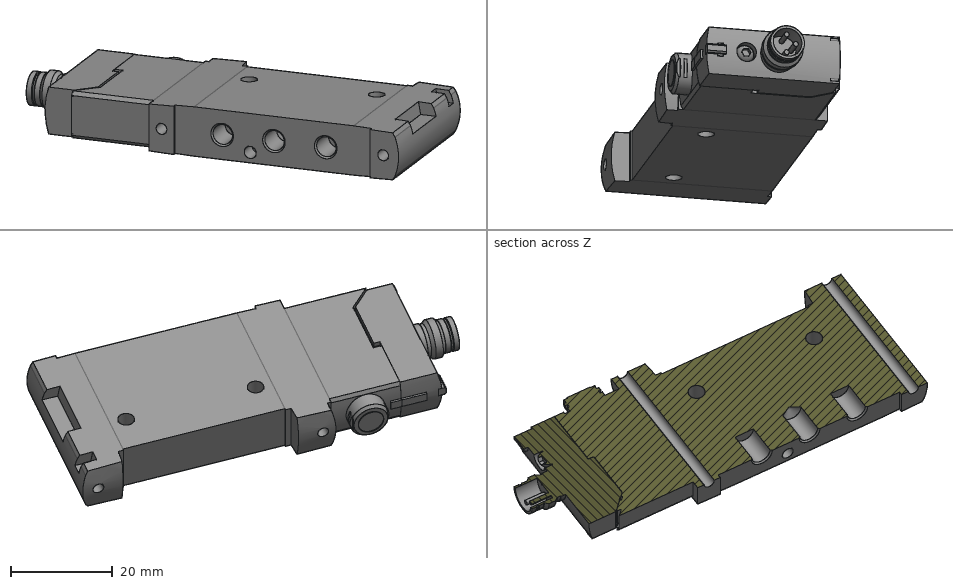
import cadquery as cq
import math

TOTAL_LENGTH = 83.7
TOP_Y = 33.5
BODY_HALF_Z = 5.1
SLIM_HALF_Z = 4.85
CUT_MARGIN = 0.8

LEFT_CAP_X = 30.8
BLOCK_X = 40.1
RIGHT_CAP_X = 73.9
BLOCK_BOTTOM_Y = 0.75
BLOCK_TOP_Y = 29.1
CAP_SHOULDER_Y = 29.5
LEFT_FOOT_X = 36.1
RIGHT_FOOT_X = 77.7
EAR_CROWN_Y = 33.05
EAR_EDGE_Y = 32.3
LEFT_EAR_FOOT_X = 38.9
LEFT_EAR_TOP_X = 38.6
RIGHT_EAR_FOOT_X = 75.0
RIGHT_EAR_TOP_X = 75.3
EAR_FACE_BULGE = 0.8
EAR_FACE_START_Y = 30.2
END_BEVEL_X = 82.4
END_ARC_X = 82.9
END_ARC_HALF_Z = 4.0

END_SLOT_TOP_X = 79.7
END_SLOT_FLOOR_X = 80.2
END_SLOT_DEPTH = 2.5
END_SLOT_SPANS_Y = [(8.3, 20.7), (27.7, 30.0)]

MOUNT_HOLE_DIA = 3.3
MOUNT_HOLE_Y = 21.5
MOUNT_HOLE_XS = [43.5, 70.55]
CAP_HOLE_DIA = 2.3
CAP_HOLE_XS = [33.5, 80.4]
PORT_DIA = 4.1
PORT_MOUTH_DIA = 4.8
PORT_DEPTH = 6.7
PORT_CENTRE_X = 57.0
PORT_PITCH = 11.0
PILOT_PORT_DIA = 2.5
PILOT_PORT_X = 52.0
PILOT_PORT_Z = -2.9
PILOT_PORT_DEPTH = 4.2
DRILL_POINT_ANGLE = 118.0

PILOT_FRONT_X = 13.7
PILOT_BOTTOM_Y = 1.75
PILOT_CHAMFER = 0.75
PILOT_CROWN_Y = 30.1
PILOT_ARC_EDGE_Y = 29.7
PILOT_EDGE_Y = 29.2

SEAM_X = 16.15
SEAM_GAP = 0.5
SEAM_NOTCH_TOP_Y = 18.7
SEAM_NOTCH_BOTTOM_Y = 17.5
SEAM_BEND_Y = 6.7
COVER_LIP_X = 17.4
PILOT_LIP_X = COVER_LIP_X + SEAM_GAP
SEAM_DEPTH = 1.0
SEAM_OPENING_Y = (5.2, 5.8)
SEAM_CORE_X = 14.2

COVER_EDGE_X = 8.4
COVER_CROWN_X = 7.6
COVER_BOTTOM_Y = SEAM_BEND_Y - (COVER_LIP_X - PILOT_FRONT_X)
COVER_CROWN_Y = 30.1
COVER_ARC_EDGE_Y = 29.5
PAD_X = 8.1
PAD_HALF_Z = 4.4
PAD_SPAN_Y = (3.3, 4.85)

LATCH_X = 6.7
LATCH_HALF_Z = 0.9
LATCH_CHAMFER = 0.3
LATCH_BOTTOM_Y = 26.3
CROSSBAR_X = 7.4
CROSSBAR_HALF_Z = 1.3
CROSSBAR_SPAN_Y = (26.8, 27.9)
RIB_START_X = 10.9
RIB_END_X = 18.4
RIB_TOP_Y = 30.55
RIB_ROOT = 0.8

SCREW_Y = 22.0
SCREW_RECESS_DIA = 3.9
SCREW_HEAD_DIA = 3.8
SCREW_SEAT_X = 9.5
SCREW_HEX_DIA = 1.8
SCREW_HEX_FLOOR_X = 8.8

CONNECTOR_Y = 15.6
THREAD_DIA = 6.9
NECK_DIA = 6.5
RING_DIA = 8.0
BASE_DIA = 7.2
BORE_DIA = 5.8
BORE_DEPTH = 5.0
PIN_DIA = 1.0
PIN_CIRCLE_RADIUS = 1.8
PIN_TIP_X = 0.7
PIN_OFFSETS = [(-1, 0), (0, 1), (0, -1)]

BUTTON_X = 23.6
BUTTON_DIA = 8.1
BUTTON_RIM_Y = 32.7
BUTTON_TOP_Y = 33.3
BUTTON_TOP_DIA = 7.0
BUTTON_BOSS_DIA = 5.3
BUTTON_NOTCH_DEPTH = 0.5
BUTTON_NOTCH_SPANS_Y = [(31.1, 31.7), (32.5, 33.1)]


def box(x_span, y_span, z_span):
    """Box between pairs of X, Y and Z limits."""
    sizes = [high - low for low, high in (x_span, y_span, z_span)]
    corner = (x_span[0], y_span[0], z_span[0])
    return cq.Workplane("XY").box(*sizes, centered=False).translate(corner)


def plate(points, half_z):
    """Outline in X and Y, extruded equally to both sides of the mid-plane."""
    return cq.Workplane("XY").polyline(points).close().extrude(half_z, both=True)


def crowned_slab(crown_y, edge_y, half_z):
    """Long bar whose +Y side is an arc across Z, used to crown other shapes."""
    return (
        cq.Workplane("YZ")
        .moveTo(-CUT_MARGIN, -half_z)
        .lineTo(edge_y, -half_z)
        .threePointArc((crown_y, 0), (edge_y, half_z))
        .lineTo(-CUT_MARGIN, half_z)
        .close()
        .extrude(TOTAL_LENGTH)
    )


def bowed_slab(bow_x, edge_x, end_x, half_z):
    """Bar standing along Y whose -X side is an arc across Z."""
    return (
        cq.Workplane("XZ")
        .moveTo(end_x, -half_z)
        .lineTo(edge_x, -half_z)
        .threePointArc((bow_x, 0), (edge_x, half_z))
        .lineTo(end_x, half_z)
        .close()
        .extrude(-TOP_Y)
    )


def rod_along_x(dia, start_x, end_x, y, z=0.0):
    """Cylinder parallel to X."""
    return cq.Workplane("YZ", origin=(start_x, y, z)).circle(dia / 2).extrude(end_x - start_x)


def rod_along_y(dia, x, start_y, end_y, z=0.0):
    """Cylinder parallel to Y."""
    return cq.Workplane("XZ", origin=(x, start_y, z)).circle(dia / 2).extrude(start_y - end_y)



def left_cap():
    profile = (
        cq.Workplane("XZ")
        .polyline([
            (LEFT_CAP_X, -SLIM_HALF_Z),
            (BLOCK_X, -BODY_HALF_Z),
            (BLOCK_X, BODY_HALF_Z),
            (LEFT_CAP_X, SLIM_HALF_Z),
        ])
        .close()
        .extrude(-TOP_Y)
    )
    outline = plate([
        (LEFT_CAP_X, 0),
        (LEFT_FOOT_X, 0),
        (LEFT_FOOT_X, BLOCK_BOTTOM_Y),
        (BLOCK_X, BLOCK_BOTTOM_Y),
        (BLOCK_X, CAP_SHOULDER_Y),
        (LEFT_EAR_FOOT_X, CAP_SHOULDER_Y),
        (LEFT_EAR_TOP_X, TOP_Y),
        (LEFT_CAP_X, TOP_Y),
    ], BODY_HALF_Z)
    cap = profile.intersect(outline).intersect(crowned_slab(EAR_CROWN_Y, EAR_EDGE_Y, BODY_HALF_Z))
    ear_zone = box((0, TOTAL_LENGTH), (EAR_FACE_START_Y, TOP_Y), (-BODY_HALF_Z, BODY_HALF_Z))
    bowed = bowed_slab(LEFT_CAP_X, LEFT_CAP_X + EAR_FACE_BULGE, BLOCK_X, BODY_HALF_Z)
    return cap.cut(ear_zone.cut(bowed))


def end_slot(span_y):
    """Open slot in the upper face of the right cap, with a sloping inner wall."""
    low, high = span_y
    floor_z = SLIM_HALF_Z - END_SLOT_DEPTH
    return (
        cq.Workplane("XZ", origin=(0, low, 0))
        .polyline([
            (END_SLOT_TOP_X, BODY_HALF_Z),
            (END_SLOT_FLOOR_X, floor_z),
            (TOTAL_LENGTH + CUT_MARGIN, floor_z),
            (TOTAL_LENGTH + CUT_MARGIN, BODY_HALF_Z),
        ])
        .close()
        .extrude(low - high)
    )


def right_cap():
    profile = (
        cq.Workplane("XZ")
        .moveTo(RIGHT_CAP_X, -BODY_HALF_Z)
        .lineTo(END_BEVEL_X, -SLIM_HALF_Z)
        .lineTo(END_ARC_X, -END_ARC_HALF_Z)
        .threePointArc((TOTAL_LENGTH, 0), (END_ARC_X, END_ARC_HALF_Z))
        .lineTo(END_BEVEL_X, SLIM_HALF_Z)
        .lineTo(RIGHT_CAP_X, BODY_HALF_Z)
        .close()
        .extrude(-TOP_Y)
    )
    outline = plate([
        (RIGHT_CAP_X, BLOCK_BOTTOM_Y),
        (RIGHT_FOOT_X, BLOCK_BOTTOM_Y),
        (RIGHT_FOOT_X, 0),
        (TOTAL_LENGTH, 0),
        (TOTAL_LENGTH, TOP_Y),
        (RIGHT_EAR_TOP_X, TOP_Y),
        (RIGHT_EAR_FOOT_X, CAP_SHOULDER_Y),
        (RIGHT_CAP_X, CAP_SHOULDER_Y),
    ], BODY_HALF_Z)
    cap = profile.intersect(outline).intersect(crowned_slab(EAR_CROWN_Y, EAR_EDGE_Y, BODY_HALF_Z))
    for span_y in END_SLOT_SPANS_Y:
        cap = cap.cut(end_slot(span_y))
    return cap


def drilled_hole(dia, x, z, depth):
    """Blind hole from the block's -Y face, ending in a drill-point cone."""
    radius = dia / 2
    cone_height = radius / math.tan(math.radians(DRILL_POINT_ANGLE / 2))
    return (
        cq.Workplane("XY")
        .polyline([(0, 0), (radius, 0), (radius, depth), (0, depth + cone_height)])
        .close()
        .revolve(360, (0, 0, 0), (0, 1, 0))
        .translate((x, BLOCK_BOTTOM_Y, z))
    )


def port_mouth(x):
    """Chamfer around a port's opening."""
    depth = (PORT_MOUTH_DIA - PORT_DIA) / 2
    return (
        cq.Workplane("XZ", origin=(x, BLOCK_BOTTOM_Y, 0))
        .circle(PORT_MOUTH_DIA / 2)
        .workplane(offset=-depth)
        .circle(PORT_DIA / 2)
        .loft()
    )


def pilot_section():
    """Housing between cover and left cap, with the filled core of the seam in front of it."""
    gap_side = SEAM_BEND_Y - (PILOT_LIP_X - PILOT_FRONT_X)
    outline = plate([
        (PILOT_FRONT_X, PILOT_BOTTOM_Y),
        (LEFT_CAP_X, PILOT_BOTTOM_Y),
        (LEFT_CAP_X, TOP_Y),
        (SEAM_X, TOP_Y),
        (SEAM_X, SEAM_NOTCH_TOP_Y),
        (PILOT_LIP_X, SEAM_NOTCH_TOP_Y),
        (PILOT_LIP_X, SEAM_BEND_Y),
        (PILOT_FRONT_X, gap_side),
    ], SLIM_HALF_Z)
    core = plate([
        (PILOT_FRONT_X, gap_side),
        (PILOT_LIP_X, SEAM_BEND_Y),
        (PILOT_LIP_X, SEAM_NOTCH_TOP_Y),
        (SEAM_X, SEAM_NOTCH_TOP_Y),
        (SEAM_X, SEAM_NOTCH_BOTTOM_Y),
        (COVER_LIP_X, SEAM_NOTCH_BOTTOM_Y),
        (COVER_LIP_X, SEAM_BEND_Y),
        (PILOT_FRONT_X, COVER_BOTTOM_Y),
    ], SLIM_HALF_Z - SEAM_DEPTH)
    setback = box((PILOT_FRONT_X, SEAM_CORE_X), (0, SEAM_BEND_Y), (-SLIM_HALF_Z, SLIM_HALF_Z))
    opening = box((PILOT_FRONT_X, PILOT_LIP_X), SEAM_OPENING_Y, (-SLIM_HALF_Z, SLIM_HALF_Z))
    inner_z = SLIM_HALF_Z - PILOT_CHAMFER
    section = (
        cq.Workplane("YZ")
        .moveTo(PILOT_BOTTOM_Y, -inner_z)
        .lineTo(PILOT_BOTTOM_Y + PILOT_CHAMFER, -SLIM_HALF_Z)
        .lineTo(PILOT_EDGE_Y, -SLIM_HALF_Z)
        .lineTo(PILOT_ARC_EDGE_Y, -inner_z)
        .threePointArc((PILOT_CROWN_Y, 0), (PILOT_ARC_EDGE_Y, inner_z))
        .lineTo(PILOT_EDGE_Y, SLIM_HALF_Z)
        .lineTo(PILOT_BOTTOM_Y + PILOT_CHAMFER, SLIM_HALF_Z)
        .lineTo(PILOT_BOTTOM_Y, inner_z)
        .close()
        .extrude(LEFT_CAP_X)
    )
    bevel_rise = COVER_BOTTOM_Y - PILOT_BOTTOM_Y
    front_bevel = plate([
        (PILOT_FRONT_X, PILOT_BOTTOM_Y),
        (PILOT_FRONT_X + bevel_rise, COVER_BOTTOM_Y),
        (PILOT_FRONT_X, COVER_BOTTOM_Y),
    ], SLIM_HALF_Z - SEAM_DEPTH)
    filled_core = core.cut(setback).cut(opening)
    return outline.intersect(section).cut(front_bevel).union(filled_core)


def button():
    radius = BUTTON_DIA / 2
    knob = (
        cq.Workplane("XY")
        .polyline([
            (0, PILOT_EDGE_Y),
            (radius, PILOT_EDGE_Y),
            (radius, BUTTON_RIM_Y),
            (BUTTON_TOP_DIA / 2, BUTTON_TOP_Y),
            (BUTTON_BOSS_DIA / 2, BUTTON_TOP_Y),
            (BUTTON_BOSS_DIA / 2, TOP_Y),
            (0, TOP_Y),
        ])
        .close()
        .revolve(360, (0, 0, 0), (0, 1, 0))
    )
    flat_x = radius - BUTTON_NOTCH_DEPTH
    for span_y in BUTTON_NOTCH_SPANS_Y:
        for span_x in [(flat_x, radius), (-radius, -flat_x)]:
            knob = knob.cut(box(span_x, span_y, (-radius, radius)))
    return knob.translate((BUTTON_X, 0, 0))


def rib(start_x, end_x):
    """Low strip along the top side, in line with the latch."""
    return box((start_x, end_x), (RIB_TOP_Y - RIB_ROOT, RIB_TOP_Y), (-LATCH_HALF_Z, LATCH_HALF_Z))


def make_valve():
    block = box((BLOCK_X, RIGHT_CAP_X), (BLOCK_BOTTOM_Y, BLOCK_TOP_Y), (-BODY_HALF_Z, BODY_HALF_Z))
    valve = block.union(left_cap()).union(right_cap())
    valve = valve.union(pilot_section()).union(button()).union(rib(SEAM_X, RIB_END_X))
    for x in MOUNT_HOLE_XS:
        hole = cq.Workplane("XY").center(x, MOUNT_HOLE_Y).circle(MOUNT_HOLE_DIA / 2)
        valve = valve.cut(hole.extrude(BODY_HALF_Z, both=True))
    for x in CAP_HOLE_XS:
        valve = valve.cut(rod_along_y(CAP_HOLE_DIA, x, 0, TOP_Y))
    valve = valve.cut(drilled_hole(PORT_DIA, PORT_CENTRE_X, 0, PORT_DEPTH)).cut(port_mouth(PORT_CENTRE_X))
    for x in (PORT_CENTRE_X - PORT_PITCH, PORT_CENTRE_X + PORT_PITCH):
        bore = rod_along_y(PORT_DIA, x, BLOCK_BOTTOM_Y, BLOCK_BOTTOM_Y + PORT_DEPTH)
        valve = valve.cut(bore).cut(port_mouth(x))
    return valve.cut(drilled_hole(PILOT_PORT_DIA, PILOT_PORT_X, PILOT_PORT_Z, PILOT_PORT_DEPTH))



def cover_shell():
    outline = plate([
        (0, COVER_BOTTOM_Y),
        (PILOT_FRONT_X, COVER_BOTTOM_Y),
        (COVER_LIP_X, SEAM_BEND_Y),
        (COVER_LIP_X, SEAM_NOTCH_BOTTOM_Y),
        (SEAM_X, SEAM_NOTCH_BOTTOM_Y),
        (SEAM_X, TOP_Y),
        (0, TOP_Y),
    ], SLIM_HALF_Z)
    crown = crowned_slab(COVER_CROWN_Y, COVER_ARC_EDGE_Y, SLIM_HALF_Z)
    bow = bowed_slab(COVER_CROWN_X, COVER_EDGE_X, PILOT_LIP_X, SLIM_HALF_Z)
    return outline.intersect(crown).intersect(bow)


def latch():
    bar = box((LATCH_X, COVER_EDGE_X), (LATCH_BOTTOM_Y, COVER_CROWN_Y), (-LATCH_HALF_Z, LATCH_HALF_Z))
    bar = bar.faces("<X").edges("|Y").chamfer(LATCH_CHAMFER)
    crossbar = box((CROSSBAR_X, COVER_EDGE_X), CROSSBAR_SPAN_Y, (-CROSSBAR_HALF_Z, CROSSBAR_HALF_Z))
    return bar.union(crossbar)


def screw_recess():
    """Recess around a domed screw head with a hexagon socket."""
    recess = rod_along_x(SCREW_RECESS_DIA, 0, SCREW_SEAT_X, SCREW_Y)
    head = cq.Workplane("XY", origin=(SCREW_SEAT_X, SCREW_Y, 0)).sphere(SCREW_HEAD_DIA / 2)
    socket = (
        cq.Workplane("YZ", origin=(0, SCREW_Y, 0))
        .polygon(6, SCREW_HEX_DIA)
        .extrude(SCREW_HEX_FLOOR_X)
    )
    return recess.cut(head).union(socket)


def connector():
    """Round plug: threaded nose, locking ring, neck and base, with three contact pins in its bore."""
    stations = [
        (0.0, THREAD_DIA),
        (1.1, THREAD_DIA),
        (1.25, NECK_DIA),
        (1.6, NECK_DIA),
        (1.75, THREAD_DIA),
        (2.85, THREAD_DIA),
        (2.85, NECK_DIA),
        (3.6, RING_DIA),
        (5.1, RING_DIA),
        (5.9, THREAD_DIA),
        (6.6, THREAD_DIA),
        (6.6, BASE_DIA),
        (COVER_EDGE_X, BASE_DIA),
    ]
    outline = [(x, dia / 2) for x, dia in stations]
    plug = (
        cq.Workplane("XY")
        .polyline([(0, 0)] + outline + [(COVER_EDGE_X, 0)])
        .close()
        .revolve(360, (0, 0, 0), (1, 0, 0))
        .translate((0, CONNECTOR_Y, 0))
    )
    plug = plug.cut(rod_along_x(BORE_DIA, 0, BORE_DEPTH, CONNECTOR_Y))
    for direction_y, direction_z in PIN_OFFSETS:
        pin_y = CONNECTOR_Y + direction_y * PIN_CIRCLE_RADIUS
        pin_z = direction_z * PIN_CIRCLE_RADIUS
        plug = plug.union(rod_along_x(PIN_DIA, PIN_TIP_X, COVER_EDGE_X, pin_y, pin_z))
    return plug


def pad():
    """Flat pad low on the bowed face; only its ends stand proud of the bow."""
    return box((PAD_X, COVER_EDGE_X), PAD_SPAN_Y, (-PAD_HALF_Z, PAD_HALF_Z))


def make_cover():
    cover = cover_shell().union(pad()).cut(screw_recess())
    return cover.union(connector()).union(latch()).union(rib(RIB_START_X, SEAM_X))


valve = make_valve()
cover = make_cover()
result = cq.Compound.makeCompound([valve.val(), cover.val()])